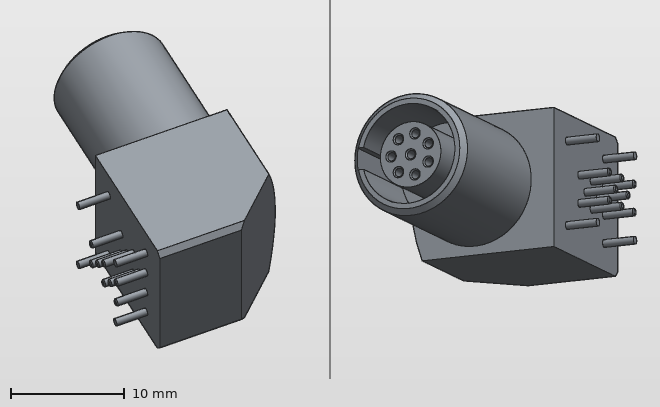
import cadquery as cq
import math


housing_length = 13.19
housing_height = 12.6
board_face_y = -7.7
crown_y = 6.3
crown_sag = 1.15
slant_length_x = 5.7
slant_length_y = 6.03
rear_chamfer = 0.5

barrel_length = 26.8 - housing_length
barrel_radius = 5.5
rim_chamfer = 0.5
bore_radius = 4.5
bore_depth = 8.05
key_width = 1.98
key_reach = barrel_radius - rim_chamfer

insert_radius = 2.95
insert_recess = 0.4
socket_count = 7
socket_circle_radius = 1.9
socket_radius = 0.38
socket_mouth_radius = 0.5
socket_depth = 2.95

pin_pitch = 2.55
pin_radius = 0.35
pin_length = 3.0
pin_tip_chamfer = 0.1
first_pin_x = 2.73

barrel_front_x = -barrel_length
insert_front_x = barrel_front_x + insert_recess


def cylinder_along_x(radius, start_x, length, y=0.0, z=0.0):
    plane = cq.Plane(origin=(start_x, y, z), xDir=(0, 1, 0), normal=(1, 0, 0))
    return cq.Workplane(plane).circle(radius).extrude(length)


def make_housing():
    half_height = housing_height / 2
    shoulder_y = crown_y - crown_sag
    block = (
        cq.Workplane("YZ")
        .moveTo(board_face_y, -half_height)
        .lineTo(shoulder_y, -half_height)
        .threePointArc((crown_y, 0), (shoulder_y, half_height))
        .lineTo(board_face_y, half_height)
        .close()
        .extrude(housing_length)
    )
    block = block.faces(">X").edges("|Y").chamfer(rear_chamfer)
    corner = (
        cq.Workplane("XY")
        .moveTo(housing_length, crown_y)
        .lineTo(housing_length - slant_length_x, crown_y)
        .lineTo(housing_length, crown_y - slant_length_y)
        .close()
        .extrude(half_height, both=True)
    )
    return block.cut(corner)


def make_barrel():
    barrel = cylinder_along_x(barrel_radius, barrel_front_x, barrel_length)
    barrel = barrel.faces("<X").chamfer(rim_chamfer)
    bore = cylinder_along_x(bore_radius, barrel_front_x, bore_depth)
    keyway = cq.Workplane("XY", origin=(barrel_front_x, 0, 0))
    keyway = keyway.box(bore_depth, key_reach, key_width, centered=(False, False, True))
    return barrel.cut(bore).cut(keyway)


def make_socket(y, z):
    hole = cylinder_along_x(socket_radius, insert_front_x, socket_depth, y, z)
    mouth_depth = socket_mouth_radius - socket_radius
    mouth = cq.Solid.makeCone(
        socket_mouth_radius,
        socket_radius,
        mouth_depth,
        pnt=cq.Vector(insert_front_x, y, z),
        dir=cq.Vector(1, 0, 0),
    )
    return hole.union(cq.Workplane(mouth))


def make_insert():
    insert = cylinder_along_x(insert_radius, insert_front_x, bore_depth - insert_recess)
    insert = insert.cut(make_socket(0, 0))
    for index in range(socket_count):
        angle = 2 * math.pi * index / socket_count
        y = socket_circle_radius * math.cos(angle)
        z = socket_circle_radius * math.sin(angle)
        insert = insert.cut(make_socket(y, z))
    return insert


def make_pin(column, row, tip_chamfer=0.0):
    base = (first_pin_x + column * pin_pitch, board_face_y, row * pin_pitch)
    pin = cq.Workplane("XZ", origin=base).circle(pin_radius).extrude(pin_length)
    if tip_chamfer:
        pin = pin.faces("<Y").chamfer(tip_chamfer)
    return pin


corner_pins = [(column, row) for column in (0, 3) for row in (-1.5, 1.5)]
row_pins = [(column, row) for column in (1, 2, 3) for row in (-0.5, 0.5)]
staggered_pins = [(1.5, 0), (2.5, 0)]

result = make_housing().union(make_barrel()).union(make_insert())

for column, row in corner_pins:
    result = result.union(make_pin(column, row))

for column, row in row_pins + staggered_pins:
    result = result.union(make_pin(column, row, pin_tip_chamfer))